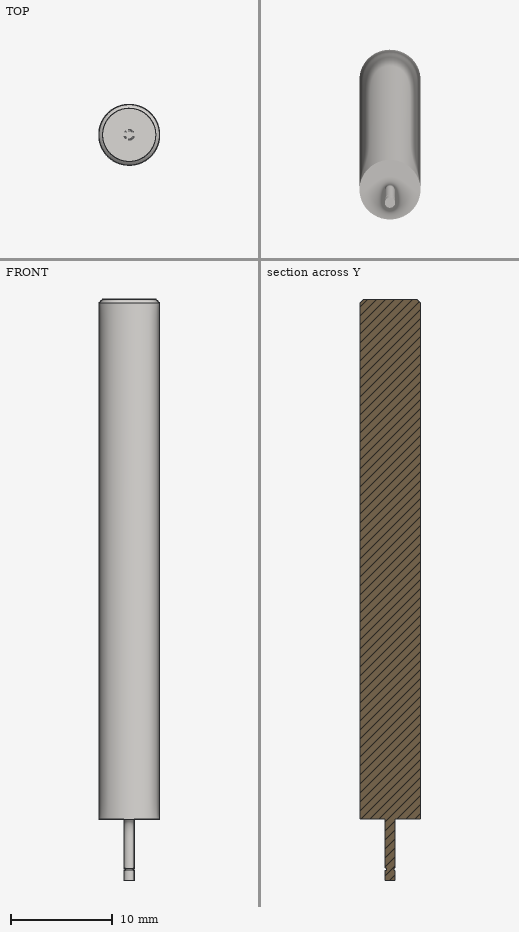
import cadquery as cq

total_length = 57.0
body_diameter = 6.0
body_chamfer = 0.38

pin_length = 6.0
pin_diameter = 1.0
groove_diameter = 0.8
groove_width = 0.15
groove_height = 1.0

body_length = total_length - pin_length


def cylinder(diameter, length, base_height):
    """Vertical cylinder on the part axis, starting at base_height."""
    return cq.Workplane("XY").workplane(offset=base_height).circle(diameter / 2).extrude(length)


body = cylinder(body_diameter, body_length, pin_length).faces(">Z").chamfer(body_chamfer)
pin = cylinder(pin_diameter, pin_length, 0)

groove = cylinder(pin_diameter, groove_width, groove_height).cut(
    cylinder(groove_diameter, groove_width, groove_height)
)

result = body.union(pin).cut(groove)